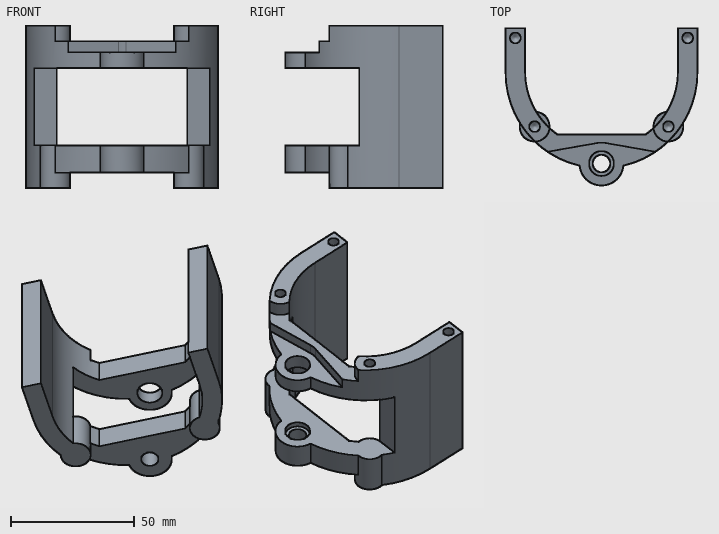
import cadquery as cq
import math

height = 66.0
outer_radius = 39.0
wall = 8.0
inner_radius = outer_radius - wall
mid_radius = outer_radius - wall / 2
leg_length = 17.95

plate_inset = 6.3
plate_thickness = 11.0
plate_back_y = -25.2
lower_plate_top = plate_inset + plate_thickness
upper_plate_top = height - plate_inset
upper_plate_bottom = height - lower_plate_top
window_back_y = -16.1

lug_radius = 9.0
lug_y = -37.05
bore_radius = 3.5
counterbore_radius = 5.1
counterbore_depth = 2.35

recess_depth = 4.6
recess_radius = 8.5
recess_slope = math.radians(10)

post_radius = 6.1
post_x = 27.15
post_y = -math.sqrt(mid_radius**2 - post_x**2)
post_points = [(-post_x, post_y), (post_x, post_y)]
screw_radius = 2.2
screw_depth = 9.35
drill_tip_angle = math.radians(118)
screw_tip_depth = screw_radius / math.tan(drill_tip_angle / 2)
rear_screw_y = leg_length - wall / 2
rear_screw_points = [(-mid_radius, rear_screw_y), (mid_radius, rear_screw_y)]

cut_reach = 2 * outer_radius


def cylinder(points, radius, bottom, top):
    """Vertical cylinders at the given XY points."""
    base = cq.Workplane("XY").workplane(offset=bottom)
    return base.pushPoints(points).circle(radius).extrude(top - bottom)


def u_profile(radius):
    """Full-height U: a half disc with straight legs reaching the rear."""
    return (
        cq.Workplane("XY")
        .moveTo(-radius, leg_length)
        .lineTo(-radius, 0)
        .threePointArc((0, -radius), (radius, 0))
        .lineTo(radius, leg_length)
        .close()
        .extrude(height)
    )


def frame():
    """Curved wall, filled in front of the straight back edge of the plates."""
    behind_plates = cq.Workplane("XY").box(
        cut_reach, leg_length - plate_back_y, height, centered=(True, False, False)
    ).translate((0, plate_back_y, 0))
    return u_profile(outer_radius).cut(u_profile(inner_radius).intersect(behind_plates))


def end_gap(bottom, top):
    """Space between the rounded wall ends beyond a plate's outer face."""
    reach = cut_reach / mid_radius
    sector = (
        cq.Workplane("XY")
        .workplane(offset=bottom)
        .polyline([
            (0, 0),
            (-post_x * reach, post_y * reach),
            (post_x * reach, post_y * reach),
        ])
        .close()
        .extrude(top - bottom)
    )
    return sector.cut(cylinder(post_points, post_radius, bottom, top))


def window():
    """Opening between the two plates, through the front of the wall."""
    return cq.Workplane("XY").box(
        cut_reach, cut_reach, upper_plate_bottom - lower_plate_top, centered=(True, False, False)
    ).translate((0, window_back_y - cut_reach, lower_plate_top))


def upper_recess():
    """Lowered area in front of the V-shaped step on the upper plate."""
    tangent_x = recess_radius * math.sin(recess_slope)
    tangent_y = lug_y + recess_radius * math.cos(recess_slope)
    side_y = tangent_y - (outer_radius - tangent_x) * math.tan(recess_slope)
    return (
        cq.Workplane("XY")
        .workplane(offset=upper_plate_top - recess_depth)
        .moveTo(-outer_radius, side_y)
        .lineTo(-tangent_x, tangent_y)
        .threePointArc((0, lug_y + recess_radius), (tangent_x, tangent_y))
        .lineTo(outer_radius, side_y)
        .lineTo(outer_radius, -cut_reach)
        .lineTo(-outer_radius, -cut_reach)
        .close()
        .extrude(recess_depth)
    )


def screw_hole(x, y):
    """Blind hole from the top face with a conical drill tip."""
    profile = [
        (0, 0),
        (screw_radius, 0),
        (screw_radius, -screw_depth),
        (0, -screw_depth - screw_tip_depth),
    ]
    hole = cq.Workplane("XZ").polyline(profile).close().revolve(360, (0, 0), (0, 1))
    return hole.translate((x, y, height))


lug_point = [(0, lug_y)]
result = frame()
result = result.union(cylinder(lug_point, lug_radius, plate_inset, upper_plate_top))
result = result.cut(end_gap(0, plate_inset))
result = result.cut(end_gap(upper_plate_top, height))
result = result.union(cylinder(post_points, post_radius, 0, lower_plate_top))
result = result.cut(window())
result = result.cut(upper_recess())

result = result.cut(cylinder(lug_point, bore_radius, 0, lower_plate_top))
counterbore_floor = lower_plate_top - counterbore_depth
result = result.cut(cylinder(lug_point, counterbore_radius, counterbore_floor, height))

for screw_x, screw_y in post_points + rear_screw_points:
    result = result.cut(screw_hole(screw_x, screw_y))